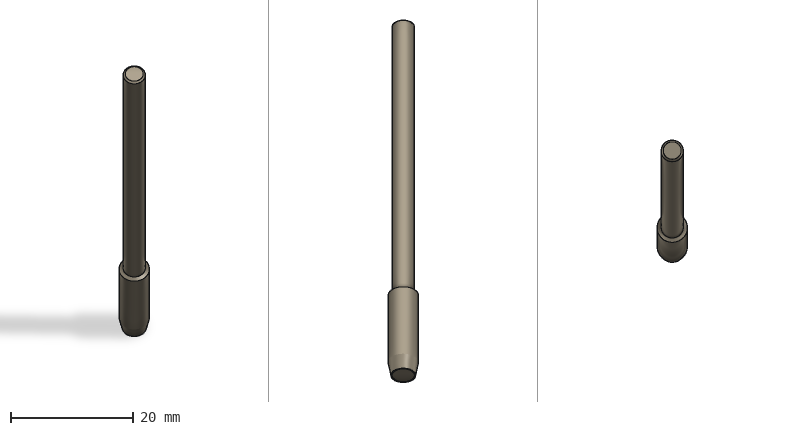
import cadquery as cq

total_length = 70.0

rod_diameter = 3.65
rod_tip_diameter = 2.95
rod_chamfer_height = 0.3

sleeve_diameter = 5.0
sleeve_length = 16.25
sleeve_shoulder_height = 0.3
sleeve_taper_height = 2.5
sleeve_bottom_diameter = 4.05


def make_rod():
    """Round rod along Z with a chamfered upper end."""
    outline = [
        (0, 0),
        (rod_diameter / 2, 0),
        (rod_diameter / 2, total_length - rod_chamfer_height),
        (rod_tip_diameter / 2, total_length),
        (0, total_length),
    ]
    return cq.Workplane("XZ").polyline(outline).close().revolve(360, (0, 0), (0, 1))


def make_sleeve():
    """Turned sleeve whose through bore fits the rod."""
    bore_radius = rod_diameter / 2
    outer_radius = sleeve_diameter / 2
    outline = [
        (bore_radius, 0),
        (sleeve_bottom_diameter / 2, 0),
        (outer_radius, sleeve_taper_height),
        (outer_radius, sleeve_length - sleeve_shoulder_height),
        (bore_radius, sleeve_length),
    ]
    return cq.Workplane("XZ").polyline(outline).close().revolve(360, (0, 0), (0, 1))


rod = make_rod()
sleeve = make_sleeve()

result = cq.Compound.makeCompound([rod.val(), sleeve.val()])